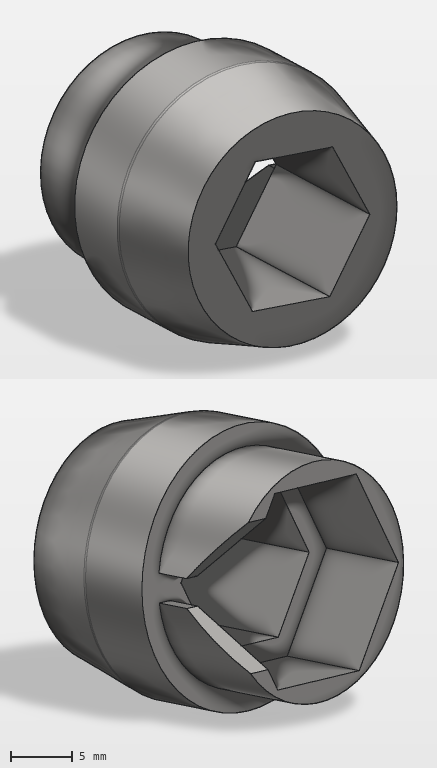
import cadquery as cq
import math

total_length = 22.54
neck_length = 8.25
collar_end = 14.72
taper_start = 14.95

collar_radius = 12.06
taper_start_radius = 12.02
neck_radius = 10.13
taper_end_radius = neck_radius

bore_across_flats = 12.98
socket_across_flats = 16.5
socket_depth = neck_length

slot_width = 2.5
mouth_width = 12.7
flare_depth = (mouth_width - slot_width) / 2

feature_turn = -1.2


def make_body():
    """Neck, collar and tapered end, revolved about X."""
    return (
        cq.Workplane("XY")
        .lineTo(0, neck_radius)
        .lineTo(neck_length, neck_radius)
        .lineTo(neck_length, collar_radius)
        .lineTo(collar_end, collar_radius)
        .lineTo(taper_start, taper_start_radius)
        .lineTo(total_length, taper_end_radius)
        .lineTo(total_length, 0)
        .close()
        .revolve(360, (0, 0), (1, 0))
    )


def make_hexagon(across_flats, depth):
    """Hexagonal prism along +X with two corners on the Y axis."""
    across_corners = across_flats / math.cos(math.pi / 6)
    return cq.Workplane("YZ").polygon(6, across_corners).extrude(depth)


def make_slot():
    """Flared slot, from the axis out past the +Y side of the neck."""
    return (
        cq.Workplane("XZ")
        .moveTo(0, -mouth_width / 2)
        .lineTo(flare_depth, -slot_width / 2)
        .lineTo(neck_length, -slot_width / 2)
        .lineTo(neck_length, slot_width / 2)
        .lineTo(flare_depth, slot_width / 2)
        .lineTo(0, mouth_width / 2)
        .close()
        .extrude(-collar_radius)
    )


cutter = (
    make_hexagon(bore_across_flats, total_length)
    .union(make_hexagon(socket_across_flats, socket_depth))
    .union(make_slot())
    .rotate((0, 0, 0), (1, 0, 0), feature_turn)
)

result = make_body().cut(cutter)